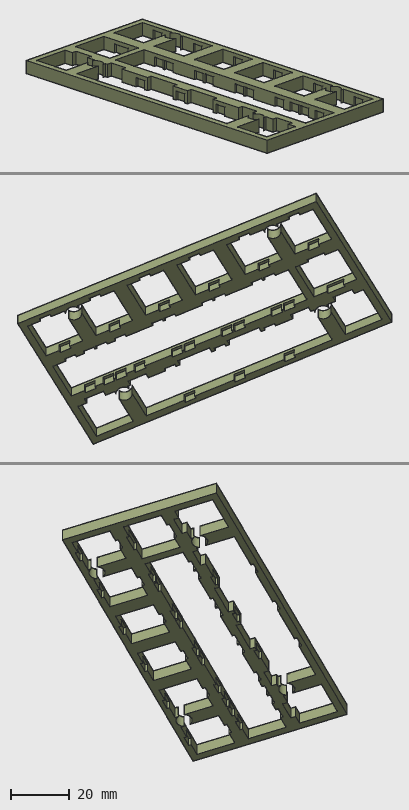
import cadquery as cq

LENGTH = 114.3
COLUMNS = 6
ROWS = 3
PITCH = LENGTH / COLUMNS
WIDTH = ROWS * PITCH
THICKNESS = 4.8

RIM = 2.5
OPENING = PITCH - 2 * RIM

CLIP_SKIN = 1.5
CLIP_WIDTH = 4.0
CLIP_DEPTH = 0.9

RELIEF_SPANS = [(6.0, 13.1), (22.6, 29.5), (41.6, 53.7)]
RELIEF_DEPTH = 1.8

SCREW_RADIUS = 2.7

REAR, MIDDLE, FRONT = 0.5, 1.5, 2.5
CELL_CENTERS = [column + 0.5 for column in range(COLUMNS)]
SCREW_COLUMNS = (1, 5)
SCREW_ROWS = (0.25, 2.25)

OPENINGS = [(center, center, REAR) for center in CELL_CENTERS]
OPENINGS += [(0.5, 0.625, MIDDLE), (1.5, 5.5, MIDDLE)]
OPENINGS += [(0.5, 0.5, FRONT), (1.5, 4.5, FRONT), (5.5, 5.5, FRONT)]

CLIPPED_SWITCHES = {
    REAR: CELL_CENTERS,
    MIDDLE: CELL_CENTERS + [0.625, 1.75, 2.75, 3.75, 4.875, 5.125],
    FRONT: [2, 3, 4],
}


def cell_x(column):
    return column * PITCH - LENGTH / 2


def cell_y(row):
    return WIDTH / 2 - row * PITCH


def block(x_min, x_max, y_min, y_max, height):
    """Box standing on the underside of the plate."""
    box = cq.Workplane("XY").box(x_max - x_min, y_max - y_min, height, centered=False)
    return box.translate((x_min, y_min, 0))


def opening(first, last, row):
    """Through opening spanning every switch position from first to last."""
    half = OPENING / 2
    y = cell_y(row)
    return block(cell_x(first) - half, cell_x(last) + half, y - half, y + half, THICKNESS)


def clip_recesses(column, row):
    """Blind recesses from below in the front and rear walls of an opening."""
    half_x = CLIP_WIDTH / 2
    half_y = OPENING / 2 + CLIP_DEPTH
    x = cell_x(column)
    y = cell_y(row)
    return block(x - half_x, x + half_x, y - half_y, y + half_y, THICKNESS - CLIP_SKIN)


def stabilizer_relief(x_min, x_max):
    """Full-height relief cut back into the rear wall of the front row."""
    y = cell_y(FRONT)
    return block(x_min, x_max, y, y + OPENING / 2 + RELIEF_DEPTH, THICKNESS)


plate = cq.Workplane("XY").box(LENGTH, WIDTH, THICKNESS, centered=(True, True, False))

for first, last, row in OPENINGS:
    plate = plate.cut(opening(first, last, row))

for row, columns in CLIPPED_SWITCHES.items():
    for column in columns:
        plate = plate.cut(clip_recesses(column, row))

for start, end in RELIEF_SPANS:
    inner = LENGTH / 2 - end
    outer = LENGTH / 2 - start
    plate = plate.cut(stabilizer_relief(-outer, -inner))
    plate = plate.cut(stabilizer_relief(inner, outer))

screw_points = [(cell_x(column), cell_y(row)) for column in SCREW_COLUMNS for row in SCREW_ROWS]
screw_holes = cq.Workplane("XY").pushPoints(screw_points).circle(SCREW_RADIUS).extrude(THICKNESS)
plate = plate.cut(screw_holes)

result = plate